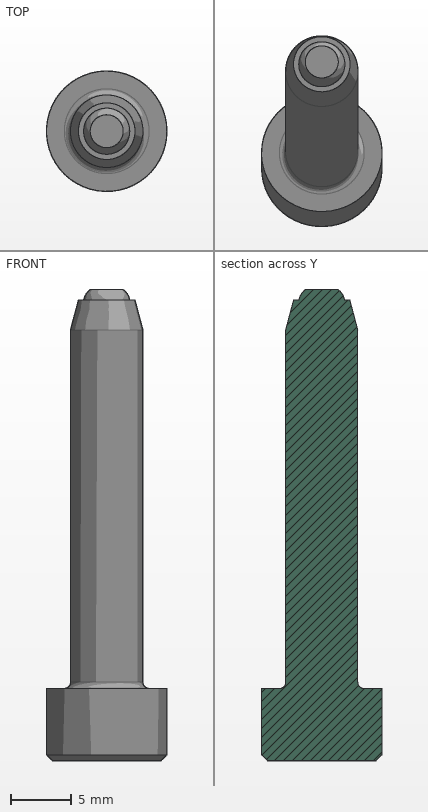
import cadquery as cq

total_length = 39.0
head_radius = 10.0 / 2
head_height = 6.0
head_chamfer = 0.5
shank_radius = 6.0 / 2
neck_fillet = 0.5
taper_length = 2.5
taper_end_radius = 2.35
tip_height = 0.85
tip_base_radius = 1.9
tip_top_radius = 1.35
tip_bulge_radius = 1.75

tip_base_z = total_length - tip_height
taper_start_z = tip_base_z - taper_length


def make_head():
    """Cylindrical head with a chamfered bottom edge."""
    head = cq.Workplane("XY").circle(head_radius).extrude(head_height)
    return head.faces("<Z").edges().chamfer(head_chamfer)


def make_pin():
    """Shank flared by a fillet at the head, with a tapered end and a rounded tip."""
    neck_top_z = head_height + neck_fillet
    profile = (
        cq.Workplane("XZ")
        .moveTo(0, head_height)
        .lineTo(shank_radius + neck_fillet, head_height)
        .radiusArc((shank_radius, neck_top_z), neck_fillet)
        .lineTo(shank_radius, taper_start_z)
        .lineTo(taper_end_radius, tip_base_z)
        .lineTo(tip_base_radius, tip_base_z)
        .threePointArc(
            (tip_bulge_radius, tip_base_z + tip_height / 2),
            (tip_top_radius, total_length),
        )
        .lineTo(0, total_length)
        .close()
    )
    return profile.revolve(360, (0, 0, 0), (0, 1, 0))


result = make_head().union(make_pin())